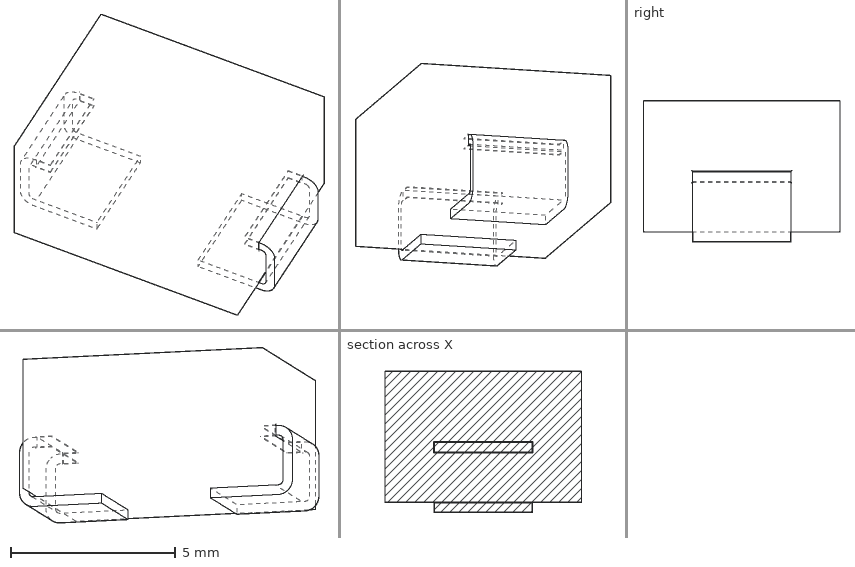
import cadquery as cq

BODY_LENGTH = 7.6
BODY_WIDTH = 6.0
BODY_HEIGHT = 4.0
EDGE_RADIUS = 0.03

SPAN = 8.64
LEAD_THICKNESS = 0.3
LEAD_WIDTH = 3.0
LEAD_TOP = 2.135
FOOT_LENGTH = 2.6
BEND_RADIUS = 0.45
INNER_BEND_RADIUS = BEND_RADIUS - LEAD_THICKNESS
EMBED_DEPTH = 0.5
SOCKET_CLEARANCE = 0.02


def make_body():
    """Moulded block with a socket in each end, all outer edges and socket mouths rounded."""
    block = cq.Workplane("XY").box(
        BODY_LENGTH, BODY_WIDTH, BODY_HEIGHT, centered=(True, True, False)
    ).translate((0, 0, LEAD_THICKNESS))
    socket_height = LEAD_THICKNESS + 2 * SOCKET_CLEARANCE
    socket = cq.Workplane("XY").box(2 * EMBED_DEPTH, LEAD_WIDTH, socket_height)
    socket_z = LEAD_TOP - LEAD_THICKNESS / 2
    for end_x in (-BODY_LENGTH / 2, BODY_LENGTH / 2):
        block = block.cut(socket.translate((end_x, 0, socket_z)))
    outer_faces = block.faces("<X or >X or <Y or >Y or <Z or >Z")
    return outer_faces.edges().fillet(EDGE_RADIUS)


def make_left_lead():
    """Bent strip: tab in the body socket, upright outside it, foot below."""
    outer_x = -SPAN / 2
    inner_x = outer_x + LEAD_THICKNESS
    bend_end_x = outer_x + BEND_RADIUS
    upper_bend_z = LEAD_TOP - BEND_RADIUS
    tab_end_x = -BODY_LENGTH / 2 + EMBED_DEPTH
    tab_bottom = LEAD_TOP - LEAD_THICKNESS
    foot_end_x = outer_x + FOOT_LENGTH
    outline = (
        cq.Workplane("XZ")
        .moveTo(tab_end_x, LEAD_TOP)
        .lineTo(bend_end_x, LEAD_TOP)
        .radiusArc((outer_x, upper_bend_z), -BEND_RADIUS)
        .lineTo(outer_x, BEND_RADIUS)
        .radiusArc((bend_end_x, 0), -BEND_RADIUS)
        .lineTo(foot_end_x, 0)
        .lineTo(foot_end_x, LEAD_THICKNESS)
        .lineTo(bend_end_x, LEAD_THICKNESS)
        .radiusArc((inner_x, BEND_RADIUS), INNER_BEND_RADIUS)
        .lineTo(inner_x, upper_bend_z)
        .radiusArc((bend_end_x, tab_bottom), INNER_BEND_RADIUS)
        .lineTo(tab_end_x, tab_bottom)
        .close()
    )
    return outline.extrude(LEAD_WIDTH / 2, both=True)


left_lead = make_left_lead()
right_lead = left_lead.mirror("YZ")
result = make_body().union(left_lead).union(right_lead)